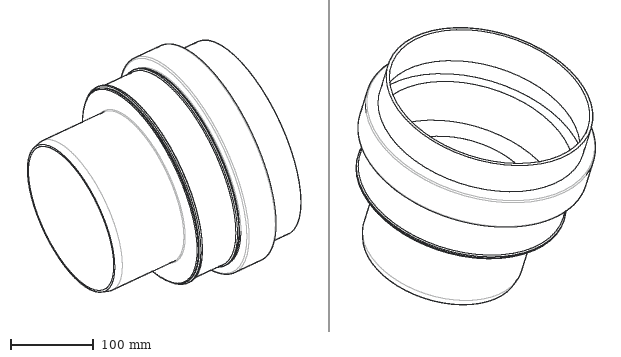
import cadquery as cq

length = 248.5

spigot_radius = 200.2 / 2
spigot_bore_radius = 189.8 / 2
bevel_length = 9.2
bevel_depth = 2.5

body_radius = 258.0 / 2
socket_bore_radius = 250 / 2
shoulder_y = 99.0
root_fillet = 1.1
shoulder_corner = 1.1
socket_floor_y = 104.5

collar_radius = 143.5
collar_groove_radius = 279.0 / 2
collar_front_y = 160.8
collar_back_y = 206.8
front_side_slope = 1.1
back_side_slope = 3.5
collar_edge_fillet = 2.0
collar_wall = collar_radius - collar_groove_radius

bead_radius = 262.0 / 2
bead_base_width = 4.5
bead_crest_width = 2.3
bead_centres = (156.5, 103.7)


def turned(profile):
    """Revolve a closed (radius, y) profile about the Y axis."""
    return profile.close().revolve(360, (0, 0, 0), (0, 1, 0))


def cylinder(radius, start_y, end_y):
    profile = cq.Workplane("XY").moveTo(0, start_y).lineTo(radius, start_y)
    return turned(profile.lineTo(radius, end_y).lineTo(0, end_y))


def spigot_and_body():
    profile = cq.Workplane("XY").polyline([
        (0, 0),
        (spigot_radius - bevel_depth, 0),
        (spigot_radius, bevel_length),
        (spigot_radius, shoulder_y),
        (body_radius - shoulder_corner, shoulder_y),
        (body_radius, shoulder_y + shoulder_corner),
        (body_radius, length),
        (0, length),
    ])
    return turned(profile)


def collar():
    profile = cq.Workplane("XY").polyline([
        (0, collar_front_y),
        (body_radius, collar_front_y),
        (collar_radius, collar_front_y + front_side_slope),
        (collar_radius, collar_back_y - back_side_slope),
        (body_radius, collar_back_y),
        (0, collar_back_y),
    ])
    rim = cq.selectors.RadiusNthSelector(-1)
    return turned(profile).edges("%CIRCLE").edges(rim).fillet(collar_edge_fillet)


def bead(centre_y):
    half_base = bead_base_width / 2
    half_crest = bead_crest_width / 2
    profile = cq.Workplane("XY").polyline([
        (0, centre_y - half_base),
        (body_radius, centre_y - half_base),
        (bead_radius, centre_y - half_crest),
        (bead_radius, centre_y + half_crest),
        (body_radius, centre_y + half_base),
        (0, centre_y + half_base),
    ])
    return turned(profile)


def ring_edge_at(y):
    """Select the circular edge whose centre lies on the axis at y."""
    tolerance = 0.03
    low = (-tolerance, y - tolerance, -tolerance)
    high = (tolerance, y + tolerance, tolerance)
    return cq.selectors.BoxSelector(low, high)


result = spigot_and_body().union(collar())
for root_y in (shoulder_y, collar_front_y):
    root_edges = result.edges("%CIRCLE").edges(ring_edge_at(root_y))
    result = root_edges.edges(cq.selectors.RadiusNthSelector(0)).fillet(root_fillet)

for bead_centre in bead_centres:
    result = result.union(bead(bead_centre))

result = result.cut(cylinder(spigot_bore_radius, 0, length))
result = result.cut(cylinder(socket_bore_radius, socket_floor_y, length))
result = result.cut(
    cylinder(
        collar_groove_radius,
        collar_front_y + front_side_slope + collar_wall,
        collar_back_y - back_side_slope - collar_wall,
    )
)

result = result.translate((0, -length / 2, 0))